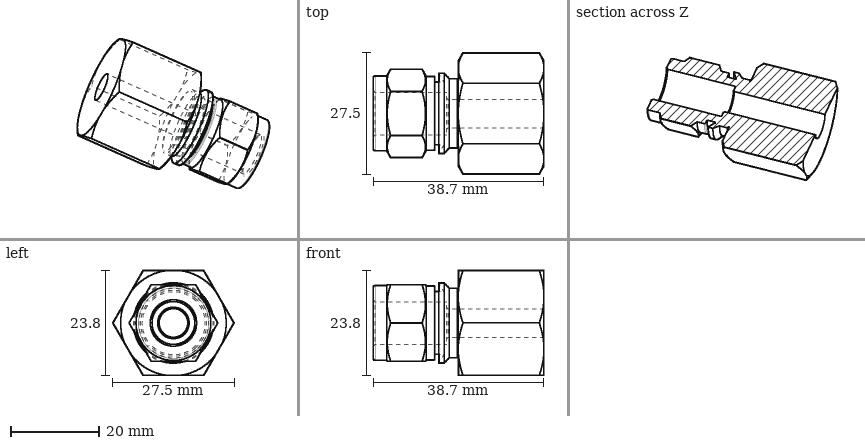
import cadquery as cq
import math

length = 38.7
nose_end = 3.1
nut_hex_end = 12.08
nut_end = 14.0
flange_start = 14.9
flange_end = 16.1
cone_end = 17.25
body_hex_start = 19.35

nose_diameter = 17.0
collar_diameter = 16.8
nut_across_flats = 17.42
nut_corner_diameter = 20.05
neck_diameter = 14.3
flange_diameter = 18.25
shoulder_diameter = 15.8
relief_diameter = 15.0
body_across_flats = 23.8
body_chamfer_diameter = 23.95
hex_chamfer_angle = 30.0

recess_diameter = 17.8
recess_end = 16.0

nose_round = 0.5
nut_rear_round = 0.27
relief_length = 0.27

tube_bore_diameter = 9.7
tube_entry_diameter = 10.53
tube_bore_depth = 16.65
through_diameter = 6.5
through_entry_diameter = 7.12


def corner_diameter(across_flats):
    """Distance between opposite corners of a regular hexagon."""
    return across_flats / math.cos(math.radians(30))


def cylinder(start, end, diameter):
    """Solid cylinder on the X axis."""
    return cq.Workplane("YZ", origin=(start, 0, 0)).circle(diameter / 2).extrude(end - start)


def cone(start, end, start_diameter, end_diameter):
    """Solid cone frustum on the X axis."""
    profile = [
        (start, 0),
        (start, start_diameter / 2),
        (end, end_diameter / 2),
        (end, 0),
    ]
    return cq.Workplane("XY").polyline(profile).close().revolve(360, (0, 0, 0), (1, 0, 0))


def chamfered_hex(start, end, across_flats, front_diameter, rear_diameter, outer_diameter):
    """Hexagonal prism with flats facing up and down, its corners turned conical at both ends."""
    prism = (
        cq.Workplane("YZ", origin=(start, 0, 0))
        .polygon(6, corner_diameter(across_flats))
        .extrude(end - start)
    )
    slope = math.tan(math.radians(hex_chamfer_angle))
    front_end = start + (outer_diameter - front_diameter) / 2 * slope
    rear_start = end - (outer_diameter - rear_diameter) / 2 * slope
    envelope = (
        cone(start, front_end, front_diameter, outer_diameter)
        .union(cylinder(front_end, rear_start, outer_diameter))
        .union(cone(rear_start, end, outer_diameter, rear_diameter))
    )
    return prism.intersect(envelope)


def make_nut():
    """Compression nut: round nose, hexagon and round rear collar."""
    nose = cylinder(0, nose_end, nose_diameter).faces("<X").edges().fillet(nose_round)
    hexagon = chamfered_hex(
        nose_end, nut_hex_end, nut_across_flats,
        nose_diameter, collar_diameter, nut_corner_diameter,
    )
    collar = cylinder(nut_hex_end, nut_end, collar_diameter).faces(">X").edges().fillet(nut_rear_round)
    return nose.union(hexagon).union(collar)


def make_flange():
    """Neck and flange, the flange with a conical back and a conical recess in front."""
    profile = [
        (nut_end, 0),
        (nut_end, neck_diameter / 2),
        (recess_end, neck_diameter / 2),
        (flange_start, recess_diameter / 2),
        (flange_start, flange_diameter / 2),
        (flange_end, flange_diameter / 2),
        (cone_end, shoulder_diameter / 2),
        (cone_end, 0),
    ]
    return cq.Workplane("XY").polyline(profile).close().revolve(360, (0, 0, 0), (1, 0, 0))


def make_body():
    """Fitting body: neck and flange, shoulder, relief and large hexagon."""
    relief_start = body_hex_start - relief_length
    return (
        chamfered_hex(
            body_hex_start, length, body_across_flats,
            body_chamfer_diameter, body_chamfer_diameter, corner_diameter(body_across_flats),
        )
        .union(make_flange())
        .union(cylinder(cone_end, relief_start, shoulder_diameter))
        .union(cone(relief_start, body_hex_start, shoulder_diameter, relief_diameter))
    )


def make_bore():
    """Stepped bore with a 45 degree countersink at the entry and at the step."""
    tube_entry_depth = (tube_entry_diameter - tube_bore_diameter) / 2
    step_entry_end = tube_bore_depth + (through_entry_diameter - through_diameter) / 2
    return (
        cylinder(0, tube_bore_depth, tube_bore_diameter)
        .union(cone(0, tube_entry_depth, tube_entry_diameter, tube_bore_diameter))
        .union(cone(tube_bore_depth, step_entry_end, through_entry_diameter, through_diameter))
        .union(cylinder(tube_bore_depth, length, through_diameter))
    )


result = make_nut().union(make_body()).cut(make_bore())